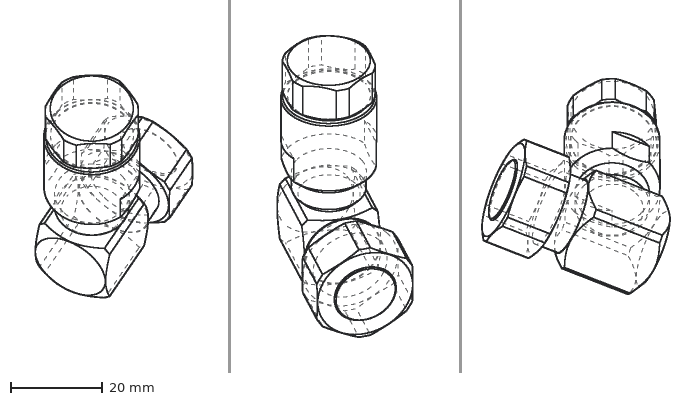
import cadquery as cq
import math


block_size = 17.5
block_length = 19.9
block_edge_chamfer = 1.3
block_face_radius = 8.7
block_cone_depth = 1.95

coupling_flats = 22.0
coupling_corners = 23.85
coupling_start = 15.3
coupling_end = 26.35
coupling_face_radius = 10.9
coupling_cone_depth = 0.4
stub_radius = 8.5
tip_radius = 7.1
tip_end = 26.7
tip_chamfer = 0.3

neck_radius = 8.2
neck_foot_radius = 6.8
neck_foot_top = 22.25
barrel_radius = 10.5
barrel_cone_bottom = 26.8
barrel_cone_top = 29.1
barrel_top = 47.15
barrel_top_chamfer = 0.4
wrench_flats = 19.0
wrench_flat_top = 35.35

cap_flats = 19.0
cap_corner_radius = 10.2
cap_face_radius = 9.1
cap_cone_depth = 0.75
cap_bottom = 47.5
total_height = 56.8

axis_height = coupling_corners / 2
block_top = axis_height + block_size / 2
hexagon_half_angle = 180 / 6
hexagon_ratio = 1 / math.cos(math.radians(hexagon_half_angle))
block_corner_radius = math.hypot(block_size / 2, block_size / 2 - block_edge_chamfer)


def double_cone_blank(start, end, face_radius, full_radius, cone_depth):
    """Solid of revolution about Z with a conical chamfer at both ends."""
    return (
        cq.Workplane("XZ")
        .moveTo(0, start)
        .lineTo(face_radius, start)
        .lineTo(full_radius, start + cone_depth)
        .lineTo(full_radius, end - cone_depth)
        .lineTo(face_radius, end)
        .lineTo(0, end)
        .close()
        .revolve(360, (0, 0, 0), (0, 1, 0))
    )


def hexagon_prism(across_flats, start, end):
    """Hexagonal prism along Z with two flats facing +X and -X."""
    return (
        cq.Workplane("XY")
        .workplane(offset=start)
        .polygon(6, across_flats * hexagon_ratio)
        .extrude(end - start)
        .rotate((0, 0, 0), (0, 0, 1), hexagon_half_angle)
    )


def cylinder(radius, start, end):
    return cq.Workplane("XY").workplane(offset=start).circle(radius).extrude(end - start)


def lay_along_y(body):
    """Turn a body built along +Z to point along +Y at the elbow axis height."""
    return body.rotate((0, 0, 0), (1, 0, 0), -90).translate((0, 0, axis_height))


def elbow_block():
    half_length = block_length / 2
    block = cq.Workplane("XY").box(block_size, block_size, block_length)
    block = block.edges("|Z").chamfer(block_edge_chamfer)
    blank = double_cone_blank(
        -half_length, half_length, block_face_radius, block_corner_radius, block_cone_depth
    )
    return lay_along_y(block.intersect(blank))


def coupling_nut():
    nut = hexagon_prism(coupling_flats, coupling_start, coupling_end)
    corner_cut = hexagon_prism(coupling_corners, coupling_start, coupling_end)
    nut = nut.intersect(corner_cut.rotate((0, 0, 0), (0, 0, 1), hexagon_half_angle))
    flat_half_width = coupling_corners - coupling_flats / hexagon_ratio
    corner_radius = math.hypot(coupling_flats / 2, flat_half_width)
    blank = double_cone_blank(
        coupling_start, coupling_end, coupling_face_radius, corner_radius, coupling_cone_depth
    )
    stub = cylinder(stub_radius, 0, coupling_start)
    tip = cylinder(tip_radius, coupling_start, tip_end).faces(">Z").chamfer(tip_chamfer)
    return lay_along_y(nut.intersect(blank).union(stub).union(tip))


def barrel():
    body = (
        cq.Workplane("XZ")
        .moveTo(0, axis_height)
        .lineTo(neck_foot_radius, axis_height)
        .lineTo(neck_foot_radius, block_top)
        .lineTo(neck_radius, neck_foot_top)
        .lineTo(neck_radius, barrel_cone_bottom)
        .lineTo(barrel_radius, barrel_cone_top)
        .lineTo(barrel_radius, barrel_top - barrel_top_chamfer)
        .lineTo(barrel_radius - barrel_top_chamfer, barrel_top)
        .lineTo(0, barrel_top)
        .close()
        .revolve(360, (0, 0, 0), (0, 1, 0))
    )
    flat_height = wrench_flat_top - barrel_cone_bottom
    for side in (-1, 1):
        cutter = cq.Workplane("XY").box(
            barrel_radius, 2 * barrel_radius, flat_height, centered=(True, True, False)
        )
        cutter_center = side * (wrench_flats + barrel_radius) / 2
        body = body.cut(cutter.translate((cutter_center, 0, barrel_cone_bottom)))
    return body


def cap_nut():
    nut = hexagon_prism(cap_flats, cap_bottom, total_height)
    blank = double_cone_blank(
        cap_bottom, total_height, cap_face_radius, cap_corner_radius, cap_cone_depth
    )
    collar = cylinder(cap_face_radius, barrel_top, cap_bottom)
    return nut.intersect(blank).union(collar)


result = elbow_block().union(coupling_nut()).union(barrel()).union(cap_nut())